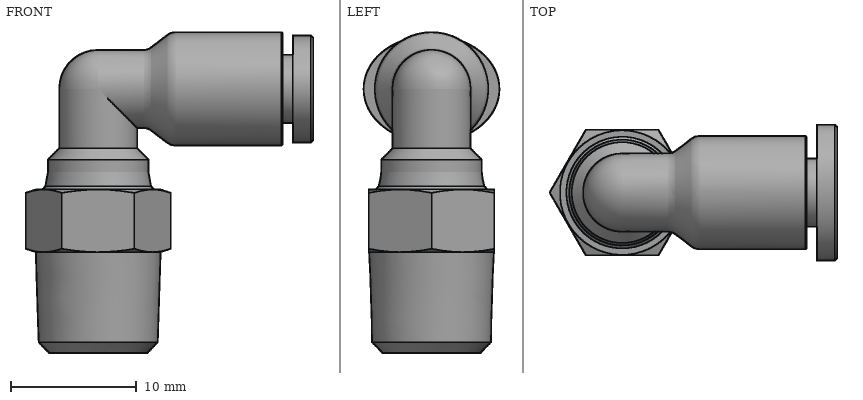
import cadquery as cq
import math


overall_height = 25.5
tube_radius = 3.1
sleeve_radius = 4.51
elbow_height = overall_height - sleeve_radius

thread_tip_radius = 3.9
thread_bottom_radius = 4.75
thread_top_radius = 4.97
thread_chamfer_height = 0.87
thread_length = 8.0

hex_across_flats = 10.0
hex_across_corners = hex_across_flats / math.cos(math.radians(30))
hex_height = 5.0
hex_top = thread_length + hex_height
hex_chamfer_radius = 4.95
hex_chamfer_drop = 0.28

foot_outer_radius = 4.44
foot_inner_radius = 4.2
foot_height = 0.25
collar_radius = 4.0
collar_taper_height = 1.12
collar_band_height = 1.0
collar_chamfer = collar_radius - tube_radius

cone_start = 3.95
cone_end = 5.8
sleeve_end = 14.65
sleeve_end_chamfer = 0.1
cone_small_fillet = 0.9
cone_large_fillet = 1.02
ring_tolerance = 0.13

neck_radius = 2.73
button_start = 15.48
button_end = 17.1
button_half_width = 5.4
button_half_height = 4.25
button_chamfer = 0.2


def turn_about_stem(profile):
    """Solid of revolution about Z from a list of (radius, height) points."""
    return cq.Workplane("XZ").polyline(profile).close().revolve(360, (0, 0), (0, 1))


def make_thread():
    """Tapered plug with a chamfered tip."""
    profile = [
        (0, 0),
        (thread_tip_radius, 0),
        (thread_bottom_radius, thread_chamfer_height),
        (thread_top_radius, thread_length),
        (0, thread_length),
    ]
    return turn_about_stem(profile)


def make_hexagon():
    """Hexagon with corners on X, its corners turned off conically at both ends."""
    prism = (
        cq.Workplane("XY", origin=(0, 0, thread_length))
        .polygon(6, hex_across_corners)
        .extrude(hex_height)
    )
    corner_radius = hex_across_corners / 2
    turned_profile = [
        (0, thread_length),
        (hex_chamfer_radius, thread_length),
        (corner_radius, thread_length + hex_chamfer_drop),
        (corner_radius, hex_top - hex_chamfer_drop),
        (hex_chamfer_radius, hex_top),
        (0, hex_top),
    ]
    turned = turn_about_stem(turned_profile)
    return prism.intersect(turned)


def make_collar():
    """Stepped collar that narrows from the nut to the tube."""
    taper_start = hex_top + foot_height
    band_start = taper_start + collar_taper_height
    band_end = band_start + collar_band_height
    profile = [
        (0, hex_top),
        (foot_outer_radius, hex_top),
        (foot_inner_radius, taper_start),
        (collar_radius, band_start),
        (collar_radius, band_end),
        (tube_radius, band_end + collar_chamfer),
        (0, band_end + collar_chamfer),
    ]
    return turn_about_stem(profile)


def make_elbow():
    """Vertical tube topped by the ball that rounds the corner of the elbow."""
    vertical = (
        cq.Workplane("XY", origin=(0, 0, hex_top))
        .circle(tube_radius)
        .extrude(elbow_height - hex_top)
    )
    ball = cq.Workplane("XY", origin=(0, 0, elbow_height)).sphere(tube_radius)
    return vertical.union(ball)


def fillet_ring(body, station, radius):
    """Round the circular edge of the port lying at the given X station."""
    ring_zone = cq.selectors.BoxSelector(
        (station - ring_tolerance, -overall_height, 0),
        (station + ring_tolerance, overall_height, 2 * overall_height),
    )
    return body.edges(ring_zone).edges("%CIRCLE").fillet(radius)


def make_port():
    """Horizontal tube flaring smoothly into the sleeve, followed by the neck."""
    profile = [
        (0, 0),
        (0, tube_radius),
        (cone_start, tube_radius),
        (cone_end, sleeve_radius),
        (sleeve_end - sleeve_end_chamfer, sleeve_radius),
        (sleeve_end, sleeve_radius - sleeve_end_chamfer),
        (sleeve_end, neck_radius),
        (button_start, neck_radius),
        (button_start, 0),
    ]
    body = (
        cq.Workplane("XZ", origin=(0, 0, elbow_height))
        .polyline(profile)
        .close()
        .revolve(360, (0, 0), (1, 0))
    )

    body = fillet_ring(body, cone_start, cone_small_fillet)
    return fillet_ring(body, cone_end, cone_large_fillet)


def make_button():
    """Oval release button with a chamfered outer rim."""
    return (
        cq.Workplane("YZ", origin=(button_start, 0, elbow_height))
        .ellipse(button_half_width, button_half_height)
        .extrude(button_end - button_start)
        .faces(">X")
        .edges()
        .chamfer(button_chamfer)
    )


result = (
    make_thread()
    .union(make_hexagon())
    .union(make_collar())
    .union(make_elbow())
    .union(make_port())
    .union(make_button())
)